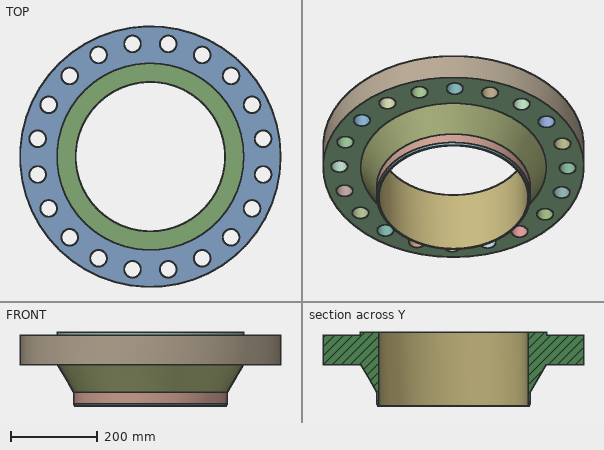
import cadquery as cq

flange_diameter = 603.0
total_height = 171.5

face_diameter = 432.0
face_height = 7.0
plate_thickness = 69.0

hub_base_diameter = 429.5
neck_diameter = 356.0
neck_height = 32.0
bevel_height = 5.5
bevel_width = 3.0
bore_diameter = 345.0

bolt_count = 20
bolt_circle_diameter = 528.0
bolt_hole_diameter = 38.0

plate_top = total_height - face_height
plate_bottom = plate_top - plate_thickness


def revolved_body():
    """Bored flange body, revolved from its half section with the weld end at Z = 0."""
    bore_radius = bore_diameter / 2
    neck_radius = neck_diameter / 2
    face_radius = face_diameter / 2
    flange_radius = flange_diameter / 2
    section = [
        (bore_radius, 0),
        (neck_radius - bevel_width, 0),
        (neck_radius, bevel_height),
        (neck_radius, neck_height),
        (hub_base_diameter / 2, plate_bottom),
        (flange_radius, plate_bottom),
        (flange_radius, plate_top),
        (face_radius, plate_top),
        (face_radius, total_height),
        (bore_radius, total_height),
    ]
    return cq.Workplane("XZ").polyline(section).close().revolve(360, (0, 0, 0), (0, 1, 0))


def bolt_holes():
    """Cylinders through the flange plate, half a pitch off the X axis."""
    half_pitch = 180 / bolt_count
    return (
        cq.Workplane("XY")
        .workplane(offset=plate_bottom)
        .polarArray(bolt_circle_diameter / 2, half_pitch, 360, bolt_count)
        .circle(bolt_hole_diameter / 2)
        .extrude(plate_thickness)
    )


result = revolved_body().cut(bolt_holes())